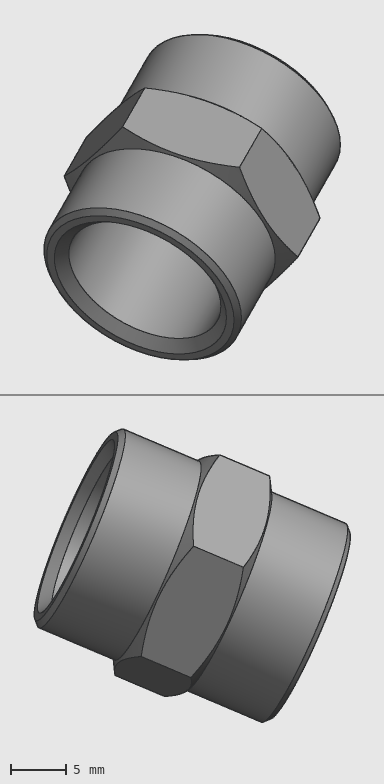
import cadquery as cq
import math

hex_corner_width = 23.1
total_length = 23.0
hex_length = 7.0
barrel_diameter = 19.5
bore_diameter = 15.0
end_chamfer = 0.5
bore_chamfer = 1.0
hex_chamfer_angle = 30.0

barrel_radius = barrel_diameter / 2
corner_radius = hex_corner_width / 2
corner_chamfer_length = (corner_radius - barrel_radius) * math.tan(math.radians(hex_chamfer_angle))


def make_barrel():
    """Cylinder with chamfered outer end edges."""
    barrel = cq.Workplane("XZ").circle(barrel_radius).extrude(total_length / 2, both=True)
    return barrel.edges("%CIRCLE").chamfer(end_chamfer)


def make_hex_collar():
    """Hexagon with corners on X, trimmed by a cone on each face."""
    prism = cq.Workplane("XZ").polygon(6, hex_corner_width).extrude(hex_length / 2, both=True)
    half_length = hex_length / 2
    corner_half_length = half_length - corner_chamfer_length
    envelope = (
        cq.Workplane("XY")
        .moveTo(0, -half_length)
        .lineTo(barrel_radius, -half_length)
        .lineTo(corner_radius, -corner_half_length)
        .lineTo(corner_radius, corner_half_length)
        .lineTo(barrel_radius, half_length)
        .lineTo(0, half_length)
        .close()
        .revolve(360, (0, 0, 0), (0, 1, 0))
    )
    return prism.intersect(envelope)


def make_bore():
    """Through bore, flared by a chamfer at both ends."""
    half_length = total_length / 2
    bore_radius = bore_diameter / 2
    mouth_radius = bore_radius + bore_chamfer
    return (
        cq.Workplane("XY")
        .moveTo(0, -half_length)
        .lineTo(mouth_radius, -half_length)
        .lineTo(bore_radius, bore_chamfer - half_length)
        .lineTo(bore_radius, half_length - bore_chamfer)
        .lineTo(mouth_radius, half_length)
        .lineTo(0, half_length)
        .close()
        .revolve(360, (0, 0, 0), (0, 1, 0))
    )


result = make_barrel().union(make_hex_collar()).cut(make_bore())